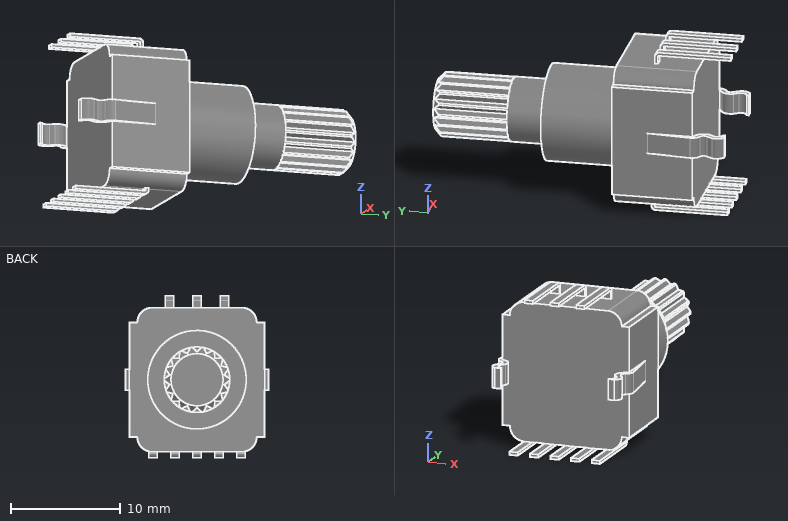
import cadquery as cq
import math


body_length = 7.5
body_width = 10.95
body_height = 13.2
body_corner_radius = 1.37
shoulder_width = 12.4
shoulder_height = 10.5

bushing_diameter = 9.0
bushing_length = 7.0
shaft_diameter = 6.0
shaft_length = 10.5
tip_chamfer = 0.6

groove_count = 18
groove_length = 7.0
groove_root_radius = 2.55
groove_half_angle = 45
groove_overcut = 0.28

mount_start = 4.18
tail_length = 2.9

pin_width = 0.8
pin_thickness = 0.3
pin_bend_radius = 0.42
pin_embed = 0.28
upper_pin_count = 3
upper_pin_pitch = 2.5
upper_pin_rise = 1.1
lower_pin_count = 5
lower_pin_pitch = 2.0
lower_pin_rise = 0.55

clip_width = 1.95
clip_embed = 0.28
clip_outer_reach = 6.55
clip_inner_reach = 5.25
clip_waist_outer = 5.78
clip_waist_inner = 5.27
clip_hook_outer = 6.28
clip_hook_inner = 5.72
clip_shoulder_y = 0.17
clip_waist_y = -1.0
clip_hook_y = -2.35
clip_end_thickness = 0.2


def cylinder_along_y(diameter, start, length):
    circle = cq.Workplane("XZ", origin=(0, start, 0)).circle(diameter / 2)
    return circle.extrude(-length)


def make_body():
    core = cq.Workplane("XZ").rect(body_width, body_height).extrude(-body_length)
    core = core.edges("|Y").fillet(body_corner_radius)
    shoulders = cq.Workplane("XZ").rect(shoulder_width, shoulder_height).extrude(-body_length)
    return core.union(shoulders)


def make_grooves(tip):
    """V grooves around the shaft, the first one facing +Z."""
    top = shaft_diameter / 2 + groove_overcut
    half_width = (top - groove_root_radius) * math.tan(math.radians(groove_half_angle))
    groove = (
        cq.Workplane("XZ", origin=(0, tip, 0))
        .polyline([(0, groove_root_radius), (half_width, top), (-half_width, top)])
        .close()
        .extrude(groove_length)
    )
    step = 360 / groove_count
    return [groove.rotate((0, 0, 0), (0, 1, 0), index * step) for index in range(groove_count)]


def make_shaft():
    start = body_length + bushing_length
    shaft = cylinder_along_y(shaft_diameter, start, shaft_length)
    shaft = shaft.faces(">Y").chamfer(tip_chamfer)
    for groove in make_grooves(start + shaft_length):
        shaft = shaft.cut(groove)
    return shaft


def make_upper_pin(x, rise):
    """Bent pin leaving the top of the body and running back along -Y."""
    root = body_height / 2 - pin_embed
    outer = body_height / 2 + rise
    inner = outer - pin_thickness
    bend_y = mount_start - pin_bend_radius
    bend_z = outer - pin_bend_radius
    return (
        cq.Workplane("YZ", origin=(x - pin_width / 2, 0, 0))
        .moveTo(mount_start, root)
        .lineTo(mount_start, bend_z)
        .radiusArc((bend_y, outer), -pin_bend_radius)
        .lineTo(-tail_length, outer)
        .lineTo(-tail_length, inner)
        .lineTo(bend_y, inner)
        .radiusArc((mount_start - pin_thickness, bend_z), pin_bend_radius - pin_thickness)
        .lineTo(mount_start - pin_thickness, root)
        .close()
        .extrude(pin_width)
    )


def make_pin_row(count, pitch, rise):
    middle = (count - 1) / 2
    return [make_upper_pin((index - middle) * pitch, rise) for index in range(count)]


def make_right_clip():
    """Snap-in clip on the +X side: a wedge on the body wall, then an S-shaped spring end."""
    wall = shoulder_width / 2
    return (
        cq.Workplane("XY", origin=(0, 0, -clip_width / 2))
        .moveTo(wall - clip_embed, mount_start)
        .lineTo(wall, mount_start)
        .lineTo(clip_outer_reach, clip_shoulder_y)
        .threePointArc((6.45, -0.3), (6.05, -0.67))
        .threePointArc((clip_waist_outer, clip_waist_y), (5.85, -1.28))
        .lineTo(6.2, -1.8)
        .threePointArc((clip_hook_outer, clip_hook_y), (5.85, -tail_length))
        .lineTo(clip_inner_reach, -tail_length)
        .lineTo(clip_inner_reach, -tail_length + clip_end_thickness)
        .threePointArc((clip_hook_inner, clip_hook_y), (5.65, -1.87))
        .lineTo(5.35, -1.45)
        .threePointArc((clip_waist_inner, clip_waist_y), (5.72, -0.28))
        .lineTo(wall, 0)
        .lineTo(wall - clip_embed, clip_embed)
        .close()
        .extrude(clip_width)
    )


result = make_body()
result = result.union(cylinder_along_y(bushing_diameter, body_length, bushing_length))
result = result.union(make_shaft())

for pin in make_pin_row(upper_pin_count, upper_pin_pitch, upper_pin_rise):
    result = result.union(pin)

for pin in make_pin_row(lower_pin_count, lower_pin_pitch, lower_pin_rise):
    result = result.union(pin.mirror("XY"))

right_clip = make_right_clip()
result = result.union(right_clip).union(right_clip.mirror("YZ"))